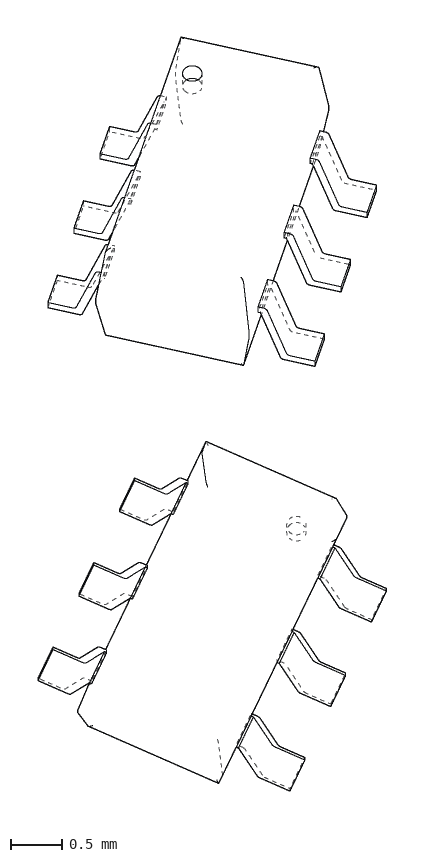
import cadquery as cq
import math

span_x = 2.7
total_height = 1.45

body_x = 1.55
body_y = 2.9
standoff = 0.075
end_inset = 0.08
rim_radius = 0.04

lead_thickness = 0.085
lead_width = 0.35
lead_pitch = 0.95
leads_per_side = 3
lead_top = 0.75
foot_length = 0.28
leg_lean = math.radians(17.5)
bend_radius = 0.04

band_top = lead_top
band_bottom = lead_top - lead_thickness

mark_diameter = 0.19
mark_depth = 0.2
mark_x = -0.465
mark_y = lead_pitch


def tapered_half(start_z, end_z):
    """Frustum from the band outline at start_z to the inset outline at end_z, rim rounded."""
    height = end_z - start_z
    end_face = ">Z" if height > 0 else "<Z"
    return (
        cq.Workplane("XY", origin=(0, 0, start_z))
        .rect(body_x, body_y)
        .workplane(offset=height)
        .rect(body_x - 2 * end_inset, body_y - 2 * end_inset)
        .loft(ruled=True)
        .faces(end_face)
        .edges()
        .fillet(rim_radius)
    )


def make_body():
    """Body with a straight band between two tapered halves and a round pin 1 recess."""
    band = cq.Workplane("XY", origin=(0, 0, band_bottom)).rect(body_x, body_y).extrude(lead_thickness)
    body = band.union(tapered_half(band_top, total_height), clean=False)
    body = body.union(tapered_half(band_bottom, standoff), clean=False)
    mark = (
        cq.Workplane("XY", origin=(mark_x, mark_y, total_height))
        .circle(mark_diameter / 2)
        .extrude(-mark_depth)
    )
    return body.cut(mark, clean=False)


def make_lead():
    """Lead on the -X side, centred on Y = 0: foot, sloping leg, short shoulder at the body."""
    tip_x = -span_x / 2
    body_face_x = -body_x / 2
    leg_run = (lead_top - lead_thickness) * math.tan(leg_lean)
    corner_shift = lead_thickness * math.tan((math.pi / 2 - leg_lean) / 2)

    foot_upper_x = tip_x + foot_length
    foot_lower_x = foot_upper_x + corner_shift
    shoulder_upper_x = foot_upper_x + leg_run
    shoulder_lower_x = shoulder_upper_x + corner_shift

    outline = [
        (tip_x, 0),
        (foot_lower_x, 0),
        (shoulder_lower_x, band_bottom),
        (body_face_x, band_bottom),
        (body_face_x, lead_top),
        (shoulder_upper_x, lead_top),
        (foot_upper_x, lead_thickness),
        (tip_x, lead_thickness),
    ]
    rounded_corners = [
        (foot_lower_x, 0),
        (shoulder_upper_x, lead_top),
        (foot_upper_x, lead_thickness),
    ]
    lead = cq.Workplane("XZ").polyline(outline).close().extrude(lead_width / 2, both=True)
    for x, z in rounded_corners:
        lead = lead.edges(cq.selectors.NearestToPointSelector((x, 0, z))).fillet(bend_radius)
    return lead


body = make_body()
lead = make_lead()
leads = []
for turn in (0, 180):
    for i in range(leads_per_side):
        y = (i - (leads_per_side - 1) / 2) * lead_pitch
        leads.append(lead.rotate((0, 0, 0), (0, 0, 1), turn).translate((0, y, 0)))

result = cq.Compound.makeCompound([body.val(), *[one.val() for one in leads]])